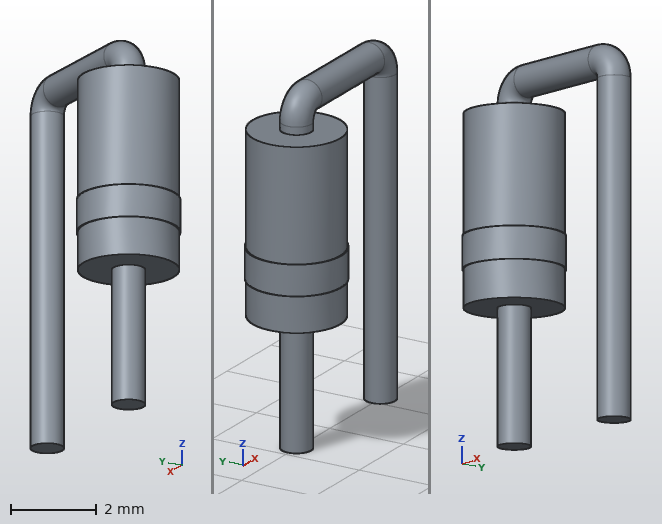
import cadquery as cq

total_height = 9.03
lead_diameter = 0.79
lead_spacing = 3.81
bend_radius = 0.49

body_diameter = 2.375
body_bottom = 3.305
body_height = 4.64

band_diameter = 2.43
band_bottom = 4.23
band_height = 0.795

wire_top = total_height - lead_diameter / 2
bend_start = wire_top - bend_radius


def upright_cylinder(diameter, bottom, height):
    """Cylinder on the body axis."""
    return cq.Workplane("XY").workplane(offset=bottom).circle(diameter / 2).extrude(height)


def bent_lead():
    """Wire up through the body, across in +X and down again."""
    path = (
        cq.Workplane("XZ")
        .lineTo(0, bend_start)
        .tangentArcPoint((bend_radius, bend_radius))
        .lineTo(lead_spacing - bend_radius, wire_top)
        .tangentArcPoint((bend_radius, -bend_radius))
        .lineTo(lead_spacing, 0)
    )
    return cq.Workplane("XY").circle(lead_diameter / 2).sweep(path)


body = upright_cylinder(body_diameter, body_bottom, body_height)
polarity_band = upright_cylinder(band_diameter, band_bottom, band_height)

result = body.union(polarity_band).union(bent_lead())